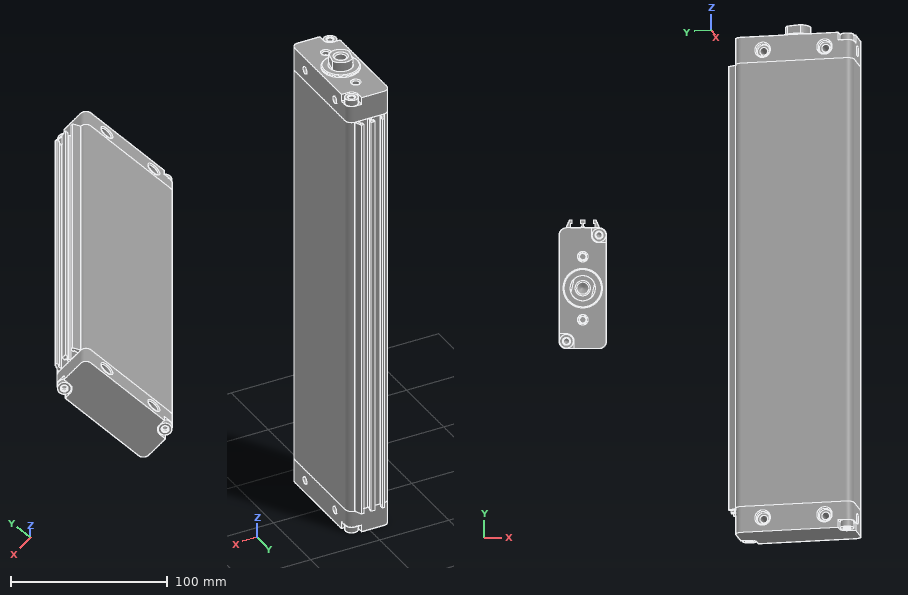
import cadquery as cq
import math

total_height = 335.0
width = 30.0
body_depth = 77.0
rail_height = 5.0
rod_projection = 8.5
cap_height = 17.0
corner_radius = 4.7

body_height = total_height - rod_projection
profile_height = body_height - 2 * cap_height
upper_joint_z = body_height - cap_height
back_y = body_depth / 2

post_head_half_width = 1.5
post_neck_half_width = 0.5
hook_tip_x = 6.7
hook_wall_x = 7.7
hook_top_x = 8.5
hook_base_x = 10.7
lip_thickness = 2.5

rod_diameter = 16.0
rod_flat_width = 13.5
rod_flat_length = 6.7
rod_flat_angle = -12.5
rod_thread_mouth = 9.7
rod_thread_diameter = 7.7
rod_thread_depth = 20.0

collar_diameter = 25.0
collar_height = 1.7
collar_chamfer = 0.7

port_mouth = 6.7
port_thread_diameter = 5.0
port_thread_depth = 3.5
port_diameter = 4.0
port_depth = 5.0
mounting_hole_diameter = 5.0
mounting_bore_mouth = 10.0
mounting_bore_diameter = 8.5
mounting_bore_depth = 4.0
hole_spacing = 40.2
hole_end_distance = 9.0

screw_inset = 4.7
screw_head_diameter = 8.7
screw_head_height = 4.5
screw_pocket_radius = 4.85
screw_pocket_depth = 5.0
socket_mouth = 5.0
socket_diameter = 4.0
socket_depth = 2.7

drill_tip_angle = 118.0


def body_block(bottom_z, height):
    """Rounded rectangular block shared by the profile and the end caps."""
    block = cq.Workplane("XY").workplane(offset=bottom_z).rect(width, body_depth).extrude(height)
    return block.edges("|Z").fillet(corner_radius)


def drilled_hole(diameter, depth, mouth_diameter):
    """Hole tool that runs down from the origin, with a 45 degree mouth and a drill point."""
    radius = diameter / 2
    mouth_radius = mouth_diameter / 2
    tip_length = radius / math.tan(math.radians(drill_tip_angle / 2))
    return (
        cq.Workplane("XZ")
        .moveTo(0, 0)
        .lineTo(mouth_radius, 0)
        .lineTo(radius, radius - mouth_radius)
        .lineTo(radius, -depth)
        .lineTo(0, -depth - tip_length)
        .close()
        .revolve(360, (0, 0, 0), (0, 1, 0))
    )


def port():
    """Flat-bottomed threaded port tool that runs down from the origin."""
    mouth_depth = (port_mouth - port_thread_diameter) / 2
    outline = [
        (0, 0),
        (port_mouth / 2, 0),
        (port_thread_diameter / 2, -mouth_depth),
        (port_thread_diameter / 2, -port_thread_depth),
        (port_diameter / 2, -port_thread_depth),
        (port_diameter / 2, -port_depth),
        (0, -port_depth),
    ]
    return cq.Workplane("XZ").polyline(outline).close().revolve(360, (0, 0, 0), (0, 1, 0))


def centre_post(base_z):
    """Mushroom-shaped post between the two slots."""
    head_bottom_y = back_y + rail_height - lip_thickness
    top_y = back_y + rail_height
    flare = post_head_half_width - post_neck_half_width
    right_side = [
        (post_head_half_width, back_y),
        (post_neck_half_width, back_y + flare),
        (post_neck_half_width, head_bottom_y),
        (post_head_half_width, head_bottom_y),
        (post_head_half_width, top_y),
    ]
    left_side = [(-x, y) for x, y in reversed(right_side)]
    outline = right_side + left_side
    return cq.Workplane("XY").workplane(offset=base_z).polyline(outline).close().extrude(profile_height)


def hooked_lip(base_z, side):
    """Outer lip of one slot; side is -1 or +1 along X."""
    top_y = back_y + rail_height
    lip_bottom_y = top_y - lip_thickness
    outline = [
        (side * hook_base_x, back_y),
        (side * hook_top_x, top_y),
        (side * hook_tip_x, top_y),
        (side * hook_tip_x, lip_bottom_y),
        (side * hook_wall_x, lip_bottom_y),
        (side * hook_wall_x, back_y),
    ]
    return cq.Workplane("XY").workplane(offset=base_z).polyline(outline).close().extrude(profile_height)


def make_profile():
    profile = body_block(cap_height, profile_height).union(centre_post(cap_height))
    for side in (-1, 1):
        profile = profile.union(hooked_lip(cap_height, side))
    return profile


def mounting_hole(y, z):
    """Through hole along X with a chamfered counterbore on the -X side."""
    mouth_depth = (mounting_bore_mouth - mounting_bore_diameter) / 2
    outline = [
        (0, 0),
        (mounting_bore_mouth / 2, 0),
        (mounting_bore_diameter / 2, mouth_depth),
        (mounting_bore_diameter / 2, mounting_bore_depth),
        (mounting_hole_diameter / 2, mounting_bore_depth),
        (mounting_hole_diameter / 2, width),
        (0, width),
    ]
    hole = cq.Workplane("XZ").polyline(outline).close().revolve(360, (0, 0, 0), (0, 1, 0))
    return hole.rotate((0, 0, 0), (0, 1, 0), 90).translate((-width / 2, y, z))


def screw_pocket(end_z):
    """Pocket open to the top and both sides of the (+X, +Y) corner."""
    size = 2 * (screw_inset + screw_pocket_radius)
    return (
        cq.Workplane("XY", origin=(width / 2, body_depth / 2, end_z))
        .rect(size, size)
        .extrude(-screw_pocket_depth)
        .edges("|Z")
        .fillet(screw_pocket_radius)
    )


def screw_head(end_z):
    """Socket screw head standing on the floor of the (+X, +Y) corner pocket."""
    x = width / 2 - screw_inset
    y = body_depth / 2 - screw_inset
    floor_z = end_z - screw_pocket_depth
    head_top = floor_z + screw_head_height
    head_radius = screw_head_diameter / 2
    head = cq.Workplane("XY", origin=(x, y, floor_z)).circle(head_radius).extrude(screw_head_height)
    socket = drilled_hole(socket_diameter, socket_depth, socket_mouth).translate((x, y, head_top))
    return head.cut(socket)


def plain_cap():
    """End cap with its outer end at Z = body_height, before any rod features."""
    cap = body_block(upper_joint_z, cap_height)
    hole_z = body_height - hole_end_distance
    for y in (-hole_spacing / 2, hole_spacing / 2):
        cap = cap.cut(mounting_hole(y, hole_z))

    front_port = port().rotate((0, 0, 0), (1, 0, 0), 90).translate((0, -body_depth / 2, hole_z))
    cap = cap.cut(front_port)

    for turn in (0, 180):
        pocket = screw_pocket(body_height).rotate((0, 0, 0), (0, 0, 1), turn)
        head = screw_head(body_height).rotate((0, 0, 0), (0, 0, 1), turn)
        cap = cap.cut(pocket).union(head)
    return cap


def make_rod_cap():
    """Upper cap with the bearing collar, the rod bore and two end ports."""
    collar = (
        cq.Workplane("XY", origin=(0, 0, body_height))
        .circle(collar_diameter / 2)
        .extrude(collar_height)
        .faces(">Z")
        .chamfer(collar_chamfer)
    )
    bore = (
        cq.Workplane("XY", origin=(0, 0, upper_joint_z))
        .circle(rod_diameter / 2)
        .extrude(cap_height + collar_height)
    )
    cap = plain_cap().union(collar).cut(bore)
    for y in (-hole_spacing / 2, hole_spacing / 2):
        cap = cap.cut(port().translate((0, y, body_height)))
    return cap


def make_end_cap():
    """Lower cap: the plain cap mirrored to the other end of the body."""
    return plain_cap().mirror("XY", (0, 0, body_height / 2))


def make_rod():
    """Piston rod with two wrench flats and a threaded hole in its end."""
    rod = (
        cq.Workplane("XY", origin=(0, 0, upper_joint_z))
        .circle(rod_diameter / 2)
        .extrude(total_height - upper_joint_z)
    )
    flat_envelope = (
        cq.Workplane("XY", origin=(0, 0, total_height))
        .rect(rod_flat_width, 2 * rod_diameter)
        .extrude(-rod_flat_length)
    )
    around_flats = (
        cq.Workplane("XY", origin=(0, 0, total_height))
        .circle(rod_diameter)
        .extrude(-rod_flat_length)
        .cut(flat_envelope)
        .rotate((0, 0, 0), (0, 0, 1), rod_flat_angle)
    )
    thread = drilled_hole(rod_thread_diameter, rod_thread_depth, rod_thread_mouth)
    return rod.cut(around_flats).cut(thread.translate((0, 0, total_height)))


profile = make_profile()
rod_cap = make_rod_cap()
end_cap = make_end_cap()
piston_rod = make_rod()

result = cq.Compound.makeCompound(
    [
        profile.solids().val(),
        rod_cap.solids().val(),
        end_cap.solids().val(),
        piston_rod.solids().val(),
    ]
)